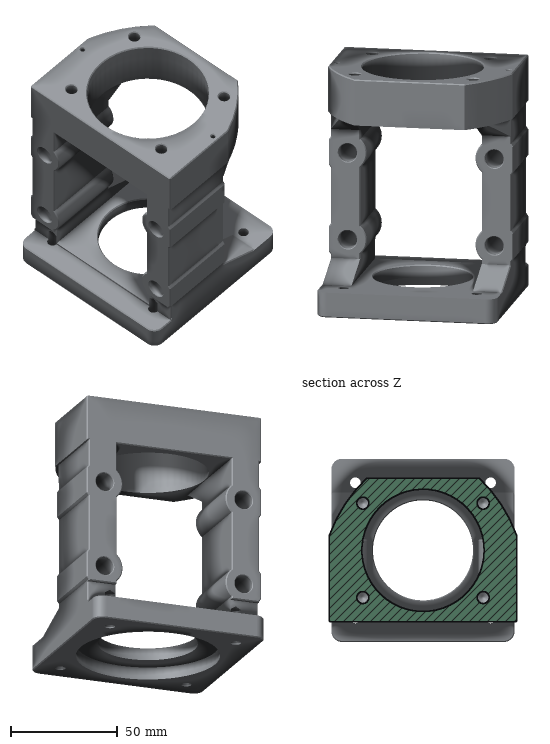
import cadquery as cq
import math

plate_side = 86.0
plate_corner = 5.0
plate_height = 12.0
plate_hole_radius = 23.5
plate_recess_radius = 33.9
plate_recess_depth = 6.0
ledge_height = 11.1
ledge_back_y = -31.8

total_height = 113.0
head_width = 88.0
head_bottom = 91.0
leg_inner_x = 29.0
leg_foot_z = 3.4
front_y = -33.7
leg_back_y = 5.2
step_top = 21.1
edge_chamfer = 0.5

boss_x = 35.0
boss_heights = (29.2, 71.0)
boss_radius = 9.0
boss_hole_radius = 4.4
boss_hole_mouth = 0.3
pad_half_height = 6.2
pad_slope_height = 1.4

head_back_y = 34.0
head_back_half_width = 26.3
shoulder_y = 7.1
shoulder_arc_radius = 70.1
bore_radius = 28.6

lower_brace_y = 27.1
lower_brace_top = 20.1
upper_brace_y = 22.9
upper_brace_bottom = 82.2

plate_drill_offset = 31.8
plate_drill_radius = 2.5
plate_drill_depth = 16.7
head_drill_x = 28.2
head_drill_y = 22.1
head_drill_radius = 2.7
head_drill_mouth = 0.5
head_drill_depth = 14.7
pin_x = 41.0
pin_radius = 1.0
pin_mouth = 0.5
pin_depth = 5.6
drill_tip_half_angle = math.radians(59)

select_margin = 0.1

leg_outer_x = plate_side / 2
head_half_width = head_width / 2


def block(x_range, y_range, z_range):
    """Axis-aligned box between the given limits."""
    size = [high - low for low, high in (x_range, y_range, z_range)]
    corner = (x_range[0], y_range[0], z_range[0])
    return cq.Workplane("XY").box(*size, centered=False).translate(corner)


def edges_within(y_range, z_range):
    """Selector for edges whose centres lie in the given y and z limits, at any x."""
    return cq.selectors.BoxSelector(
        (-head_width, y_range[0] - select_margin, z_range[0] - select_margin),
        (head_width, y_range[1] + select_margin, z_range[1] + select_margin),
    )


def along_y(y_start, y_end):
    """XZ workplane at y_start and the extrusion length that reaches y_end."""
    return cq.Workplane("XZ", origin=(0, y_start, 0)), y_start - y_end


def make_boss(side, height):
    """Round boss inside the leg with a sloped flat pad on the outer side."""
    plane, length = along_y(front_y, leg_back_y)
    barrel = plane.center(side * boss_x, height).circle(boss_radius).extrude(length)
    barrel = barrel.intersect(
        block((-leg_outer_x, leg_outer_x), (front_y, leg_back_y), (0, total_height))
    )
    pad_base = pad_half_height + pad_slope_height
    pad = (
        plane.polyline([
            (side * boss_x, height - pad_base),
            (side * leg_outer_x, height - pad_base),
            (side * head_half_width, height - pad_half_height),
            (side * head_half_width, height + pad_half_height),
            (side * leg_outer_x, height + pad_base),
            (side * boss_x, height + pad_base),
        ])
        .close()
        .extrude(length)
    )
    return barrel.union(pad)


def make_portal():
    """Legs and front part of the head, with bosses and the step above the ledge."""
    depth = (front_y, leg_back_y)
    portal = block((-leg_outer_x, leg_outer_x), depth, (leg_foot_z, head_bottom))
    portal = portal.union(
        block((-head_half_width, head_half_width), depth, (head_bottom, total_height))
    )
    portal = portal.cut(block((-leg_inner_x, leg_inner_x), depth, (leg_foot_z, head_bottom)))
    for side in (-1, 1):
        for height in boss_heights:
            portal = portal.union(make_boss(side, height))
    step = block((-head_width, head_width), (front_y, ledge_back_y), (leg_foot_z, step_top))
    portal = portal.cut(step)
    step_middle = (leg_foot_z + step_top) / 2
    step_corners = edges_within((ledge_back_y, ledge_back_y), (step_middle, step_middle))
    portal = portal.edges(step_corners).edges("<X or >X").chamfer(edge_chamfer)
    return portal.faces(">Y").edges().chamfer(edge_chamfer)


def head_arc_x(y):
    """Half-width of the head at a given y on its side arcs."""
    chord_x = head_half_width - head_back_half_width
    chord_y = head_back_y - shoulder_y
    chord = math.hypot(chord_x, chord_y)
    centre_distance = math.sqrt(shoulder_arc_radius**2 - (chord / 2) ** 2)
    centre_x = head_half_width - chord_x / 2 - centre_distance * chord_y / chord
    centre_y = shoulder_y + chord_y / 2 - centre_distance * chord_x / chord
    return centre_x + math.sqrt(shoulder_arc_radius**2 - (y - centre_y) ** 2)


def make_head():
    """Head block with straight sides and arcs narrowing to its back."""
    middle_y = (shoulder_y + head_back_y) / 2
    middle_x = head_arc_x(middle_y)
    return (
        cq.Workplane("XY", origin=(0, 0, head_bottom))
        .moveTo(-head_half_width, front_y)
        .lineTo(head_half_width, front_y)
        .lineTo(head_half_width, shoulder_y)
        .threePointArc((middle_x, middle_y), (head_back_half_width, head_back_y))
        .lineTo(-head_back_half_width, head_back_y)
        .threePointArc((-middle_x, middle_y), (-head_half_width, shoulder_y))
        .close()
        .extrude(total_height - head_bottom)
    )


def brace(points, side):
    """Solid with the given YZ profile as wide as one leg."""
    width = leg_outer_x - leg_inner_x
    return (
        cq.Workplane("YZ", origin=(side * (leg_outer_x + leg_inner_x) / 2, 0, 0))
        .polyline(points)
        .close()
        .extrude(width / 2, both=True)
    )


def make_lower_brace(side):
    """Brace rising from the plate, chamfered along its outer sloped edge."""
    root_y = leg_back_y - edge_chamfer
    solid = brace(
        [(root_y, leg_foot_z), (lower_brace_y, leg_foot_z), (lower_brace_y, plate_height),
         (leg_back_y, lower_brace_top), (root_y, lower_brace_top)],
        side,
    )
    middle_y = (leg_back_y + lower_brace_y) / 2
    middle_height = (plate_height + lower_brace_top) / 2
    slope = edges_within((middle_y, middle_y), (middle_height, middle_height))
    return solid.edges(slope).edges(">X" if side > 0 else "<X").chamfer(edge_chamfer)


def make_upper_brace(side):
    """Brace under the head, its outer side slanting in to meet the head arc."""
    root_y = leg_back_y - edge_chamfer
    solid = brace(
        [(root_y, upper_brace_bottom), (leg_back_y, upper_brace_bottom),
         (upper_brace_y, head_bottom), (root_y, head_bottom)],
        side,
    )
    footprint = (
        cq.Workplane("XY", origin=(0, 0, upper_brace_bottom))
        .polyline([
            (0, front_y),
            (side * leg_outer_x, front_y),
            (side * leg_outer_x, leg_back_y),
            (side * head_arc_x(upper_brace_y), upper_brace_y),
            (0, upper_brace_y),
        ])
        .close()
        .extrude(head_bottom - upper_brace_bottom)
    )
    return solid.intersect(footprint)


def drill(radius, depth, mouth=0.0, pointed=True):
    """Cutter pointing down from the origin, with optional countersink and conical tip."""
    tip = radius / math.tan(drill_tip_half_angle) if pointed else 0
    outline = [(0, 0), (radius + mouth, 0)]
    if mouth:
        outline.append((radius, -mouth))
    outline += [(radius, -depth), (0, -depth - tip)]
    return cq.Workplane("XZ").polyline(outline).close().revolve(360, (0, 0, 0), (0, 1, 0))


def make_plate():
    """Rounded plate with a lowered front ledge and a large central hole."""
    plate = cq.Workplane("XY").rect(plate_side, plate_side).extrude(plate_height)
    plate = plate.edges("|Z").fillet(plate_corner)
    plate = plate.faces("<Z").edges().chamfer(edge_chamfer)
    ledge = block(
        (-leg_outer_x, leg_outer_x), (-plate_side / 2, ledge_back_y), (ledge_height, plate_height)
    )
    plate = plate.cut(ledge)
    ledge_rim = edges_within((-plate_side / 2, front_y), (ledge_height, ledge_height))
    plate = plate.edges(ledge_rim).chamfer(edge_chamfer)
    hole = drill(plate_hole_radius, plate_height, edge_chamfer, pointed=False)
    hole = hole.translate((0, 0, plate_height))
    return plate.cut(hole)


def make_boss_hole(x, height):
    """Through hole along a boss, countersunk at both ends."""
    length = leg_back_y - front_y
    cutter = drill(boss_hole_radius, length, boss_hole_mouth, pointed=False)
    front = cutter.rotate((0, 0, 0), (1, 0, 0), 90).translate((x, front_y, height))
    back = cutter.rotate((0, 0, 0), (1, 0, 0), -90).translate((x, leg_back_y, height))
    return front.union(back)


body = make_portal().union(make_head())
body = body.cut(
    cq.Workplane("XY", origin=(0, 0, head_bottom)).circle(bore_radius).extrude(total_height - head_bottom)
)
body = body.faces("<Y or >Z").edges().chamfer(edge_chamfer)

body = body.union(make_plate())
for side in (-1, 1):
    for height in boss_heights:
        body = body.cut(make_boss_hole(side * boss_x, height))
    body = body.union(make_lower_brace(side)).union(make_upper_brace(side))

body = body.cut(cq.Workplane("XY").circle(plate_recess_radius).extrude(plate_recess_depth))

head_drill = drill(head_drill_radius, head_drill_depth, head_drill_mouth)
pin_drill = drill(pin_radius, pin_depth, pin_mouth)
plate_drill = drill(plate_drill_radius, plate_drill_depth).rotate((0, 0, 0), (1, 0, 0), 180)
for side in (-1, 1):
    body = body.cut(pin_drill.translate((side * pin_x, 0, total_height)))
    for end in (-1, 1):
        body = body.cut(head_drill.translate((side * head_drill_x, end * head_drill_y, total_height)))
        body = body.cut(plate_drill.translate((side * plate_drill_offset, end * plate_drill_offset, 0)))

result = body